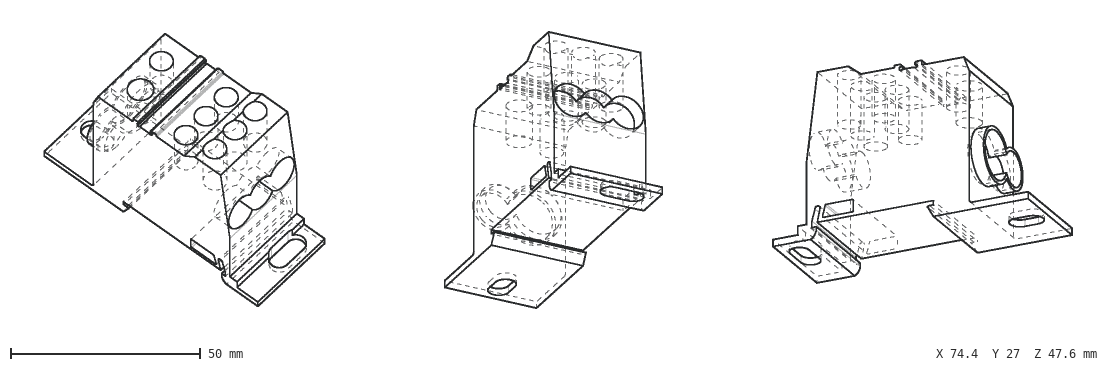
import cadquery as cq
LENGTH = 74.4
WIDTH = 27.0
HEIGHT = 47.6

FLANGE_THICKNESS = 2.0
FRONT_X = 17.2
FRONT_CHAMFER_Z = 39.95
FRONT_CHAMFER_RUN = 1.55
FRONT_DECK_Z = 44.05
MIDDLE_DECK_Z = 44.7
RAMP_START_X = 48.7
RAMP_END_X = 52.45
TOP_END_X = 61.45
BACK_X = 64.65
BACK_SLOPE_Z = 22.1
BACK_STEP_X = 67.2
BASE_Z = 4.55
FOOT_FILLET = 0.9

CHANNEL_MID_X = 35.0
CHANNEL_HALF_WIDTH = 1.9
CHANNEL_FLOOR_Z = 43.8
LIP_TOP_Z = 45.4
LIP_NOSE_Z = 44.95
LIP_NOSE_RUN = 0.4
LIP_LENGTH = 1.7
LIP_FILLET = 0.2
UNDERCUT_RADIUS = 0.5
UNDERCUT_OFFSET = 2.1
UNDERCUT_Z = 44.1

HOOK_Z = 3.35
HOOK_X = 27.6
HOOK_FLAT_END_X = 28.7
HOOK_TIP_X = 29.4
HOOK_TIP_Z = 3.1
CLIP_X = 61.75
CLIP_SIDE_Z = 2.4
CLIP_MID_X = 62.3
CLIP_MID_Z = 1.0
CLIP_TOE_X = 63.4
SLIT_BACK_X = 63.0
SLIT_BACK_Z = 5.2
SLIT_BACK_TOP_X = 62.1
SLIT_FRONT_X = 61.45
SLIT_FRONT_TOP_X = 60.6
SLIT_SHOULDER_Z = 8.5
SLIT_TOP_X = 61.3
SLIT_TOP_Z = 9.2

WINDOW_START_X = 51.0
WINDOW_END_TOP_X = 59.1
WINDOW_END_BOTTOM_X = 60.05
WINDOW_BOTTOM_Z = 5.65
WINDOW_TOP_Z = 9.2
WINDOW_FILLET = 0.4

ENTRY_Z = 18.45
ENTRY_RINGS = [(4.55, 7.8, 6.85), (-5.95, 5.9, 4.9)]
COLLAR_LENGTH = 3.65
ENTRY_RECESS = 1.5

PITCH = 8.1
OUTLET_Z = 27.5
OUTLET_RADIUS = 5.0
OUTLET_DEPTH = 5.95

SCREW_HOLE_FLOOR_Z = 33.5
FRONT_SCREW_HOLES = [(23.9, 6.1, 3.1), (25.75, -4.5, 3.5)]
BACK_SCREW_ROWS_X = [44.7, 54.75]
BACK_SCREW_RADIUS = 3.1

FRONT_SLOT_X = 6.85
FRONT_SLOT_LENGTH = 9.7
FRONT_SLOT_WIDTH = 5.7
BACK_SLOT_X = 69.6
BACK_SLOT_Y = 4.0
BACK_SLOT_LENGTH = 12.2
BACK_SLOT_WIDTH = 5.5


def extrude_across(sketch):
    """Extrude an XZ outline over the full width, centred on Y = 0."""
    return sketch.extrude(WIDTH / 2, both=True)


def housing():
    lip_run = CHANNEL_HALF_WIDTH + LIP_NOSE_RUN
    lip_front_x = CHANNEL_MID_X - lip_run - LIP_LENGTH
    lip_back_x = CHANNEL_MID_X + lip_run + LIP_LENGTH
    outline = (
        cq.Workplane("XZ")
        .moveTo(0, 0)
        .lineTo(0, FLANGE_THICKNESS)
        .lineTo(FRONT_X - FOOT_FILLET, FLANGE_THICKNESS)
        .radiusArc((FRONT_X, FLANGE_THICKNESS + FOOT_FILLET), -FOOT_FILLET)
        .lineTo(FRONT_X, FRONT_CHAMFER_Z)
        .lineTo(FRONT_X + FRONT_CHAMFER_RUN, FRONT_DECK_Z)
        .lineTo(lip_front_x - LIP_FILLET, FRONT_DECK_Z)
        .radiusArc((lip_front_x, FRONT_DECK_Z + LIP_FILLET), -LIP_FILLET)
        .lineTo(lip_front_x, LIP_TOP_Z - LIP_FILLET)
        .radiusArc((lip_front_x + LIP_FILLET, LIP_TOP_Z), LIP_FILLET)
        .lineTo(CHANNEL_MID_X - lip_run, LIP_TOP_Z)
        .lineTo(CHANNEL_MID_X - CHANNEL_HALF_WIDTH, LIP_NOSE_Z)
        .lineTo(CHANNEL_MID_X - CHANNEL_HALF_WIDTH, CHANNEL_FLOOR_Z)
        .lineTo(CHANNEL_MID_X + CHANNEL_HALF_WIDTH, CHANNEL_FLOOR_Z)
        .lineTo(CHANNEL_MID_X + CHANNEL_HALF_WIDTH, LIP_NOSE_Z)
        .lineTo(CHANNEL_MID_X + lip_run, LIP_TOP_Z)
        .lineTo(lip_back_x - LIP_FILLET, LIP_TOP_Z)
        .radiusArc((lip_back_x, LIP_TOP_Z - LIP_FILLET), LIP_FILLET)
        .lineTo(lip_back_x, MIDDLE_DECK_Z + LIP_FILLET)
        .radiusArc((lip_back_x + LIP_FILLET, MIDDLE_DECK_Z), -LIP_FILLET)
        .lineTo(RAMP_START_X, MIDDLE_DECK_Z)
        .lineTo(RAMP_END_X, HEIGHT)
        .lineTo(TOP_END_X, HEIGHT)
        .lineTo(BACK_X, BACK_SLOPE_Z)
        .lineTo(BACK_X, BASE_Z)
        .lineTo(BACK_STEP_X, BASE_Z)
        .lineTo(BACK_STEP_X, FLANGE_THICKNESS)
        .lineTo(LENGTH, FLANGE_THICKNESS)
        .lineTo(LENGTH, 0)
        .lineTo(CLIP_TOE_X, 0)
        .threePointArc((CLIP_MID_X, CLIP_MID_Z), (CLIP_X, CLIP_SIDE_Z))
        .lineTo(CLIP_X, HOOK_Z)
        .lineTo(SLIT_BACK_X, HOOK_Z)
        .lineTo(SLIT_BACK_X, SLIT_BACK_Z)
        .lineTo(SLIT_BACK_TOP_X, SLIT_SHOULDER_Z)
        .threePointArc((SLIT_TOP_X, SLIT_TOP_Z), (SLIT_FRONT_TOP_X, SLIT_SHOULDER_Z))
        .lineTo(SLIT_FRONT_X, BASE_Z)
        .lineTo(HOOK_X, BASE_Z)
        .lineTo(HOOK_X, HOOK_Z)
        .lineTo(HOOK_FLAT_END_X, HOOK_Z)
        .lineTo(HOOK_TIP_X, HOOK_TIP_Z)
        .lineTo(HOOK_X, 0)
        .close()
    )
    return extrude_across(outline)


def undercuts():
    """Round grooves in the two lower corners of the label channel."""
    centres = [(CHANNEL_MID_X + side * UNDERCUT_OFFSET, UNDERCUT_Z) for side in (-1, 1)]
    return extrude_across(cq.Workplane("XZ").pushPoints(centres).circle(UNDERCUT_RADIUS))


def spring_window():
    outline = cq.Workplane("XZ").polyline([
        (WINDOW_START_X, WINDOW_BOTTOM_Z),
        (WINDOW_START_X, WINDOW_TOP_Z),
        (WINDOW_END_TOP_X, WINDOW_TOP_Z),
        (WINDOW_END_BOTTOM_X, WINDOW_BOTTOM_Z),
    ]).close()
    return extrude_across(outline).edges("|Y").fillet(WINDOW_FILLET)


def cylinder_x(start_x, y, z, radius, length):
    plane = cq.Plane(origin=(start_x, y, z), xDir=(0, 1, 0), normal=(1, 0, 0))
    return cq.Workplane(plane).circle(radius).extrude(length)


def add_cable_entry(body):
    start_x = FRONT_X - COLLAR_LENGTH
    for y, outer_radius, _ in ENTRY_RINGS:
        body = body.union(cylinder_x(start_x, y, ENTRY_Z, outer_radius, COLLAR_LENGTH))
    for y, _, inner_radius in ENTRY_RINGS:
        body = body.cut(cylinder_x(start_x, y, ENTRY_Z, inner_radius, COLLAR_LENGTH + ENTRY_RECESS))
    return body


def cut_cable_outlets(body):
    for row in (-1, 0, 1):
        start_x = BACK_X - OUTLET_DEPTH
        body = body.cut(cylinder_x(start_x, row * PITCH, OUTLET_Z, OUTLET_RADIUS, OUTLET_DEPTH))
    return body


def cut_screw_holes(body):
    holes = list(FRONT_SCREW_HOLES)
    for x in BACK_SCREW_ROWS_X:
        for row in (-1, 0, 1):
            holes.append((x, row * PITCH, BACK_SCREW_RADIUS))
    floor = cq.Workplane("XY").workplane(offset=SCREW_HOLE_FLOOR_Z)
    for x, y, radius in holes:
        body = body.cut(floor.center(x, y).circle(radius).extrude(HEIGHT - SCREW_HOLE_FLOOR_Z))
    return body


def mounting_slots():
    front = cq.Workplane("XY").center(FRONT_SLOT_X, 0)
    front = front.slot2D(FRONT_SLOT_LENGTH, FRONT_SLOT_WIDTH).extrude(BASE_Z)
    back = cq.Workplane("XY").center(BACK_SLOT_X, BACK_SLOT_Y)
    back = back.slot2D(BACK_SLOT_LENGTH, BACK_SLOT_WIDTH, angle=90).extrude(BASE_Z)
    return front.union(back)


result = housing().cut(undercuts()).cut(spring_window())
result = add_cable_entry(result)
result = cut_cable_outlets(result)
result = cut_screw_holes(result)
result = result.cut(mounting_slots())